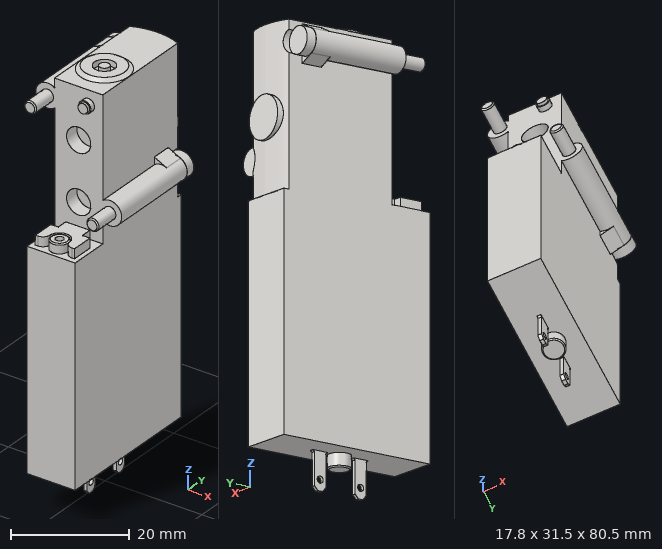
import cadquery as cq
import math

BODY_WIDTH = 10.0
HALF_WIDTH = BODY_WIDTH / 2
BODY_BOTTOM = 7.0
BODY_TOP = 79.85
BODY_BACK = 30.9
SHOULDER_Z = 51.0
UPPER_FRONT = 8.05

CROWN_BOTTOM = 50.1
CROWN_SIDE_Y = 29.9

BUTTON_Y = 15.5
BUTTON_TOP = 80.5
BUTTON_BASE_DIAMETER = 9.8
BUTTON_TOP_DIAMETER = 8.2
SOCKET_DIAMETER = 4.1
SOCKET_DEPTH = 1.2
PLUNGER_DIAMETER = 2.0

PAD_DIAMETER = 8.0
PAD_Z = 63.5
PAD_BACK = 31.5

PORT_DIAMETER = 5.0
PORT_DEPTH = 3.0
LOWER_PORT_Z = 57.5
UPPER_PORT_Z = 69.5

SLEEVE_DIAMETER = 4.9
COLLAR_DIAMETER = 5.0
SLEEVE_X = 8.9 - COLLAR_DIAMETER / 2
SLEEVE_BACK = 29.0
LEFT_SLEEVE_Z = 76.0
RIGHT_SLEEVE_Z = LOWER_PORT_Z
LUG_FRONT = 23.0
LUG_BACK = 27.05
LUG_HALF_HEIGHT = 3.5
SCREW_DIAMETER = 2.5
SCREW_TIP_Y = 2.9
SCREW_CHAMFER = 0.25

PIN_X = 2.0
PIN_Z = 76.95
PIN_DIAMETER = 2.5
PIN_TIP_Y = 6.4
PIN_STEP_Y = 7.0
PIN_TIP_DIAMETER = 2.0

CLAMP_TOP = 53.0
CLAMP_WIDTH = 8.1
CLAMP_HALF_WIDTH = CLAMP_WIDTH / 2
CLAMP_NECK_HALF_WIDTH = 2.5
CLAMP_NECK_Y = 5.6
CLAMP_BACK = 7.8
CLAMP_FRONT = 1.1
CLAMP_ARM_TIP_WIDTH = 0.6
CLAMP_SCREW_Y = 2.5
CLAMP_SLOT_DIAMETER = 4.0
CLAMP_SCREW_DIAMETER = 3.6
CLAMP_SCREW_CHAMFER = 0.25
CLAMP_SOCKET_DIAMETER = 1.5
CLAMP_SOCKET_DEPTH = 1.0

BOSS_Y = 15.45
BOSS_DIAMETER = 4.1
BOSS_BOTTOM = 4.5
BOSS_CHAMFER = 0.25
BLADE_SPACING = 8.5
BLADE_WIDTH = 2.4
BLADE_THICKNESS = 0.7
BLADE_TIP_CHAMFER = 0.7
BLADE_ROOT_FLARE = 0.3
BLADE_HOLE_DIAMETER = 1.2
BLADE_HOLE_Z = 2.0


def block(x_range, y_range, z_range):
    """Box spanning three (low, high) ranges."""
    lows, highs = zip(x_range, y_range, z_range)
    sizes = [high - low for low, high in zip(lows, highs)]
    return cq.Workplane("XY").box(*sizes, centered=False).translate(lows)


def rod_y(x, z, diameter, y_front, y_back):
    """Cylinder along Y."""
    plane = cq.Workplane("XZ", origin=(x, y_back, z))
    return plane.circle(diameter / 2).extrude(y_back - y_front)


def rod_z(y, diameter, z_low, z_high):
    """Cylinder along Z on the centre plane of the body."""
    plane = cq.Workplane("XY", origin=(0, y, z_low))
    return plane.circle(diameter / 2).extrude(z_high - z_low)


def make_body():
    sides = (-HALF_WIDTH, HALF_WIDTH)
    lower = block(sides, (0, BODY_BACK), (BODY_BOTTOM, CROWN_BOTTOM))
    shoulder = block(sides, (0, UPPER_FRONT), (CROWN_BOTTOM, SHOULDER_Z))
    upper = (
        cq.Workplane("XY", origin=(0, 0, CROWN_BOTTOM))
        .moveTo(-HALF_WIDTH, UPPER_FRONT)
        .lineTo(HALF_WIDTH, UPPER_FRONT)
        .lineTo(HALF_WIDTH, CROWN_SIDE_Y)
        .threePointArc((0, BODY_BACK), (-HALF_WIDTH, CROWN_SIDE_Y))
        .close()
        .extrude(BODY_TOP - CROWN_BOTTOM)
    )
    return lower.union(shoulder).union(upper)


def add_button(body):
    height = BUTTON_TOP - BODY_TOP
    button = (
        cq.Workplane("XY", origin=(0, BUTTON_Y, BODY_TOP))
        .circle(BUTTON_BASE_DIAMETER / 2)
        .workplane(offset=height)
        .circle(BUTTON_TOP_DIAMETER / 2)
        .loft()
    )
    floor = BUTTON_TOP - SOCKET_DEPTH
    socket = rod_z(BUTTON_Y, SOCKET_DIAMETER, floor, BUTTON_TOP)
    plunger = rod_z(BUTTON_Y, PLUNGER_DIAMETER, floor, BUTTON_TOP)
    return body.union(button).cut(socket).union(plunger)


def add_sleeve(body, side, z):
    """Screw sleeve with a collar and a tangent lug; side is -1 for left and +1 for right."""
    x = side * SLEEVE_X
    radius = SLEEVE_DIAMETER / 2

    reach = SLEEVE_X - HALF_WIDTH
    root_distance = math.hypot(reach, LUG_HALF_HEIGHT)
    touch_angle = math.atan2(LUG_HALF_HEIGHT, -reach) - math.acos(radius / root_distance)
    touch_x = side * (SLEEVE_X + radius * math.cos(touch_angle))
    touch_z = radius * math.sin(touch_angle)
    wall_x = side * HALF_WIDTH
    lug = (
        cq.Workplane("XZ", origin=(0, LUG_BACK, z))
        .polyline(
            [
                (0, LUG_HALF_HEIGHT),
                (wall_x, LUG_HALF_HEIGHT),
                (touch_x, touch_z),
                (touch_x, -touch_z),
                (wall_x, -LUG_HALF_HEIGHT),
                (0, -LUG_HALF_HEIGHT),
            ]
        )
        .close()
        .extrude(LUG_BACK - LUG_FRONT)
    )
    sleeve = rod_y(x, z, SLEEVE_DIAMETER, UPPER_FRONT, LUG_BACK)
    collar = rod_y(x, z, COLLAR_DIAMETER, LUG_BACK, SLEEVE_BACK)
    screw = rod_y(x, z, SCREW_DIAMETER, SCREW_TIP_Y, SLEEVE_BACK)
    screw = screw.faces("<Y").chamfer(SCREW_CHAMFER)

    relief = rod_y(x, z, COLLAR_DIAMETER, SLEEVE_BACK, BODY_BACK)
    return body.cut(relief).union(lug).union(sleeve).union(collar).union(screw)


def make_pin():
    pin = rod_y(PIN_X, PIN_Z, PIN_DIAMETER, PIN_STEP_Y, UPPER_FRONT)
    tip = rod_y(PIN_X, PIN_Z, PIN_TIP_DIAMETER, PIN_TIP_Y, PIN_STEP_Y)
    return pin.union(tip)


def make_clamp():
    height = CLAMP_TOP - SHOULDER_Z
    plate = block(
        (-CLAMP_HALF_WIDTH, CLAMP_HALF_WIDTH), (CLAMP_FRONT, CLAMP_NECK_Y), (SHOULDER_Z, CLAMP_TOP)
    )
    neck = block(
        (-CLAMP_NECK_HALF_WIDTH, CLAMP_NECK_HALF_WIDTH),
        (CLAMP_NECK_Y, CLAMP_BACK),
        (SHOULDER_Z, CLAMP_TOP),
    )
    slot_radius = CLAMP_SLOT_DIAMETER / 2
    flare = CLAMP_HALF_WIDTH - CLAMP_ARM_TIP_WIDTH - slot_radius
    flare_middle = flare * (1 - math.sqrt(0.5))
    slot = (
        cq.Workplane("XY", origin=(0, 0, SHOULDER_Z))
        .moveTo(-slot_radius, CLAMP_SCREW_Y)
        .threePointArc((0, CLAMP_SCREW_Y + slot_radius), (slot_radius, CLAMP_SCREW_Y))
        .threePointArc(
            (slot_radius + flare_middle, CLAMP_FRONT + flare_middle),
            (slot_radius + flare, CLAMP_FRONT),
        )
        .lineTo(-slot_radius - flare, CLAMP_FRONT)
        .threePointArc(
            (-slot_radius - flare_middle, CLAMP_FRONT + flare_middle),
            (-slot_radius, CLAMP_SCREW_Y),
        )
        .close()
        .extrude(height)
    )
    screw = rod_z(CLAMP_SCREW_Y, CLAMP_SCREW_DIAMETER, SHOULDER_Z, CLAMP_TOP)
    screw = screw.faces(">Z").chamfer(CLAMP_SCREW_CHAMFER)
    socket = rod_z(CLAMP_SCREW_Y, CLAMP_SOCKET_DIAMETER, CLAMP_TOP - CLAMP_SOCKET_DEPTH, CLAMP_TOP)
    return plate.union(neck).cut(slot).union(screw.cut(socket))


def make_blade(y):
    """Flat terminal with a chamfered tip, a flared root and a wire hole."""
    half = BLADE_WIDTH / 2
    plane = cq.Workplane("YZ", origin=(-BLADE_THICKNESS / 2, y, 0))
    one_side = [
        (half - BLADE_TIP_CHAMFER, 0),
        (half, BLADE_TIP_CHAMFER),
        (half, BODY_BOTTOM - BLADE_ROOT_FLARE),
        (half + BLADE_ROOT_FLARE, BODY_BOTTOM),
    ]
    other_side = [(-across, up) for across, up in reversed(one_side)]
    blade = plane.polyline(one_side + other_side).close().extrude(BLADE_THICKNESS)
    hole = plane.center(0, BLADE_HOLE_Z).circle(BLADE_HOLE_DIAMETER / 2).extrude(BLADE_THICKNESS)
    return blade.cut(hole)


def make_boss():
    boss = rod_z(BOSS_Y, BOSS_DIAMETER, BOSS_BOTTOM, BODY_BOTTOM)
    return boss.faces("<Z").chamfer(BOSS_CHAMFER)


result = make_body()
result = result.union(rod_y(0, PAD_Z, PAD_DIAMETER, CROWN_SIDE_Y, PAD_BACK))
result = add_button(result)
result = add_sleeve(result, -1, LEFT_SLEEVE_Z)
result = add_sleeve(result, 1, RIGHT_SLEEVE_Z)
for port_z in (LOWER_PORT_Z, UPPER_PORT_Z):
    result = result.cut(rod_y(0, port_z, PORT_DIAMETER, UPPER_FRONT, UPPER_FRONT + PORT_DEPTH))
result = result.union(make_pin()).union(make_clamp()).union(make_boss())
for blade_side in (-1, 1):
    result = result.union(make_blade(BOSS_Y + blade_side * BLADE_SPACING / 2))